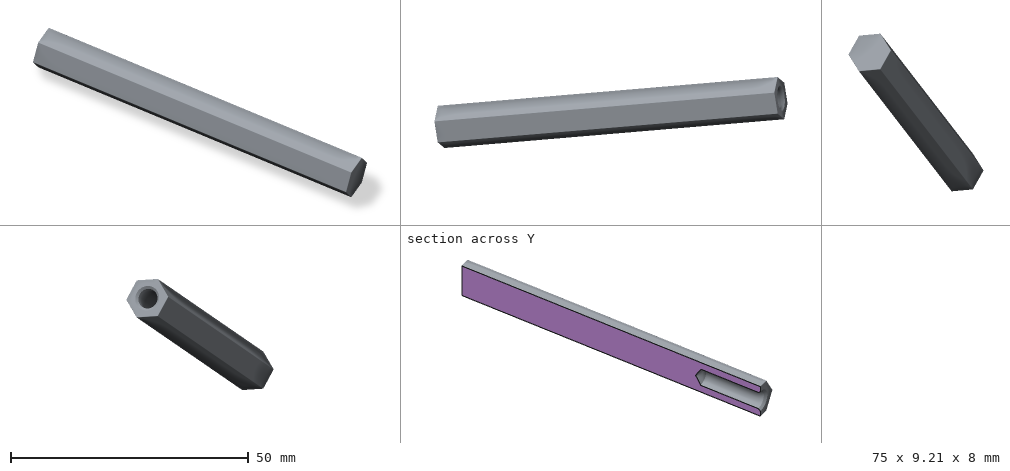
import cadquery as cq
import math

length = 75.0
across_flats = 8.0
across_corners = across_flats / math.cos(math.pi / 6)

hole_diameter = 4.2
mouth_diameter = 5.25
hole_depth = 15.0
drill_point_angle = 118.0

edge_radius = 0.1


def hex_bar():
    """Edge-rounded hexagonal bar with corners pointing along +Y and -Y."""
    return cq.Workplane("YZ").polygon(6, across_corners).extrude(length).edges().fillet(edge_radius)


def drilled_hole():
    """Countersunk blind hole, revolved about the bar axis."""
    hole_radius = hole_diameter / 2
    mouth_radius = mouth_diameter / 2
    countersink_depth = mouth_radius - hole_radius
    point_depth = hole_radius / math.tan(math.radians(drill_point_angle / 2))
    return (
        cq.Workplane("XY")
        .moveTo(0, 0)
        .lineTo(0, mouth_radius)
        .lineTo(countersink_depth, hole_radius)
        .lineTo(hole_depth, hole_radius)
        .lineTo(hole_depth + point_depth, 0)
        .close()
        .revolve(360, (0, 0, 0), (1, 0, 0))
    )


result = hex_bar().cut(drilled_hole())